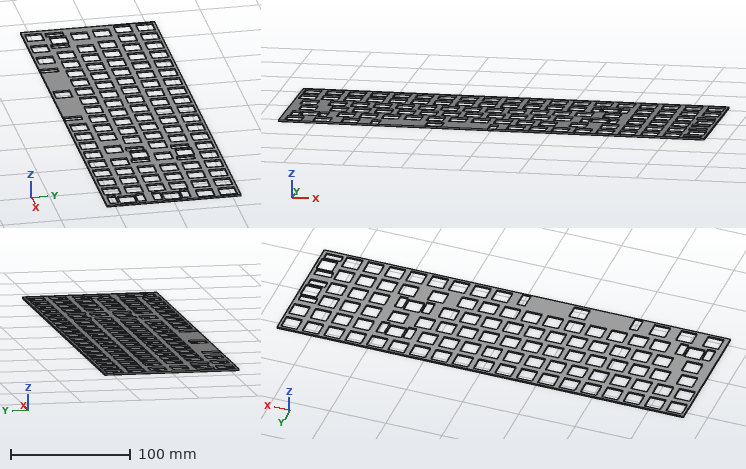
import cadquery as cq

UNIT = 19.05
COLUMNS = 19
ROWS = 6
THICKNESS = 1.5

SWITCH_SIZE = 14.0
CORNER_RADIUS = 0.5

STAB_WIDTH = 7.0
STAB_LENGTH = 15.0
STAB_DROP = 1.5
STAB_REACH_SHORT = 11.938
STAB_REACH_SPACE = 50.0
STAB_MIN_UNITS = 2.0
SPACE_UNITS = 6.25

NAV_KEYS = [1.0] * 3
KEY_ROWS = [
    [1.0] * COLUMNS,
    [1.0] * 13 + [2.0] + NAV_KEYS + [1.0],
    [1.5] + [1.0] * 12 + [1.5] + NAV_KEYS,
    [1.75] + [1.0] * 11 + [2.25] + NAV_KEYS,
    [2.25] + [1.0] * 10 + [1.75, 1.0] + NAV_KEYS,
    [1.25] * 3 + [SPACE_UNITS] + [1.0] * 5 + NAV_KEYS,
]

TALL_KEY_COLUMN = COLUMNS - 0.5
TALL_KEY_ROW_LINES = [3, 5]

plate_width = COLUMNS * UNIT
plate_depth = ROWS * UNIT


def grid_point(column, row):
    """Plate position of a grid location counted from the back left corner."""
    return (column * UNIT - plate_width / 2, plate_depth / 2 - row * UNIT)


def window(center, width, depth):
    """Round-cornered cutter through the plate."""
    return (
        cq.Workplane("XY")
        .center(*center)
        .rect(width, depth)
        .extrude(THICKNESS)
        .edges("|Z")
        .fillet(CORNER_RADIUS)
    )


def switch_window(center):
    return window(center, SWITCH_SIZE, SWITCH_SIZE)


def wide_key_stabilizers(center, reach):
    """Windows left and right of a wide key's switch."""
    x, y = center
    return [
        window((x + side * reach, y - STAB_DROP), STAB_WIDTH, STAB_LENGTH)
        for side in (-1, 1)
    ]


def tall_key_stabilizers(center, reach):
    """Windows behind and in front of a tall key's switch, turned a quarter turn."""
    x, y = center
    return [
        window((x - STAB_DROP, y + side * reach), STAB_LENGTH, STAB_WIDTH)
        for side in (-1, 1)
    ]


def row_windows(row_index, key_widths):
    """All windows of one row of keys."""
    windows = []
    left = 0.0
    for units in key_widths:
        center = grid_point(left + units / 2, row_index + 0.5)
        windows.append(switch_window(center))
        if units >= STAB_MIN_UNITS:
            reach = STAB_REACH_SPACE if units == SPACE_UNITS else STAB_REACH_SHORT
            windows += wide_key_stabilizers(center, reach)
        left += units
    return windows


def tall_key_windows():
    """All windows of the tall keys in the last column."""
    windows = []
    for row_line in TALL_KEY_ROW_LINES:
        center = grid_point(TALL_KEY_COLUMN, row_line)
        windows.append(switch_window(center))
        windows += tall_key_stabilizers(center, STAB_REACH_SHORT)
    return windows


cutters = tall_key_windows()
for row_index, key_widths in enumerate(KEY_ROWS):
    cutters += row_windows(row_index, key_widths)

plate = cq.Workplane("XY").rect(plate_width, plate_depth).extrude(THICKNESS)
cutter_solids = [cutter.val() for cutter in cutters]
result = cq.Workplane("XY").newObject([plate.val().cut(*cutter_solids)])